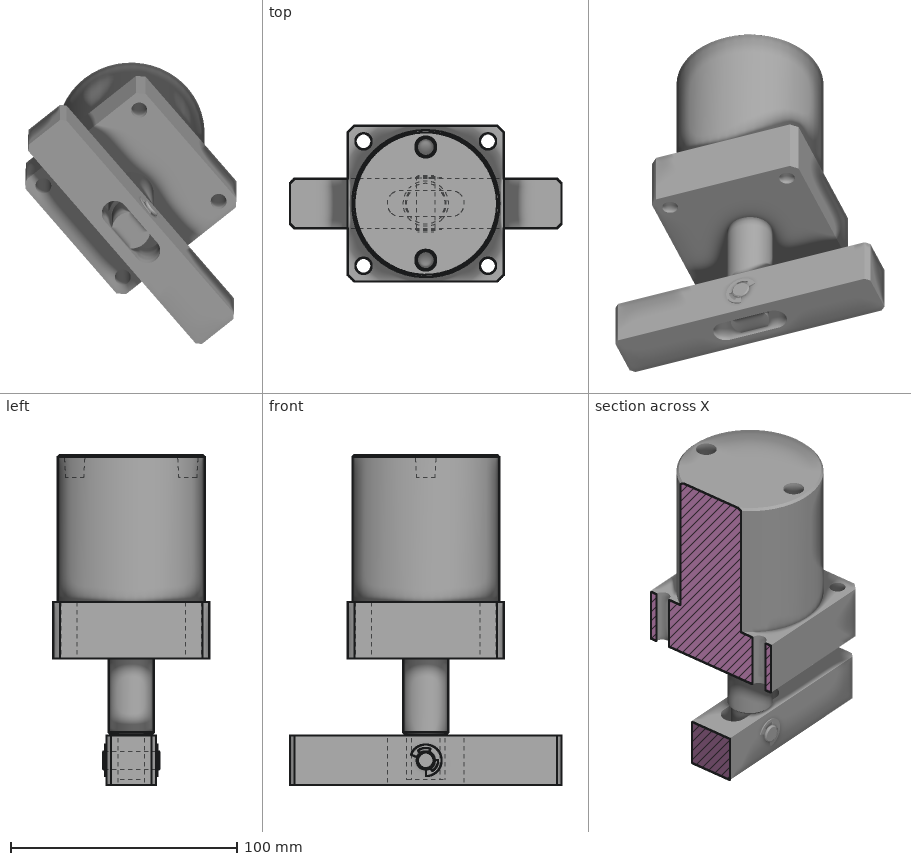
import cadquery as cq
import math

arm_length = 120.0
arm_width = 22.0
arm_height = 22.0
arm_corner_chamfer = 2.0
slot_length = 34.0
slot_width = 11.5

rod_radius = 10.0
rod_chamfer = 1.0
rod_gap = 0.5
tang_radius = 8.5
tang_length = 20.0
rod_shoulder_z = arm_height + rod_gap

housing_bottom_z = 56.0
flange_size = 69.0
flange_height = 25.0
flange_corner_chamfer = 3.0
bolt_spacing = 55.0
bolt_hole_diameter = 7.0
body_diameter = 65.0
body_height = 65.0
body_chamfer = 1.0
housing_top_z = housing_bottom_z + flange_height + body_height
port_spacing = 50.0
port_top_diameter = 9.2
port_bottom_diameter = 8.0
port_depth = 10.0

pin_radius = 4.0
pin_length = 25.0
pin_chamfer = 0.5
pin_z = arm_height / 2
groove_radius = 3.5

clip_thickness = 0.5
clip_outer_radius = 7.0
clip_relief_radius = 5.5
clip_axis_angle = 35.0
clip_gap_angle = 112.0
clip_relief_offset = 63.0
clip_relief_angle = 61.0
clip_starts = (-arm_width / 2 - clip_thickness, arm_width / 2)


def y_cylinder(radius, y_start, length):
    """Cylinder along +Y on the pin axis."""
    return (
        cq.Workplane("XZ", origin=(0, y_start, pin_z))
        .circle(radius)
        .extrude(-length)
    )


def make_port(y_center):
    """Tapered port opening in the top face of the housing, narrowing downward."""
    return (
        cq.Workplane("XY", origin=(0, y_center, housing_top_z))
        .circle(port_top_diameter / 2)
        .workplane(offset=-port_depth)
        .circle(port_bottom_diameter / 2)
        .loft(ruled=True)
    )


def make_housing():
    flange = (
        cq.Workplane("XY", origin=(0, 0, housing_bottom_z))
        .rect(flange_size, flange_size)
        .extrude(flange_height)
        .edges("|Z")
        .chamfer(flange_corner_chamfer)
        .faces(">Z")
        .workplane()
        .rect(bolt_spacing, bolt_spacing, forConstruction=True)
        .vertices()
        .hole(bolt_hole_diameter)
    )
    body = (
        cq.Workplane("XY", origin=(0, 0, housing_bottom_z + flange_height))
        .circle(body_diameter / 2)
        .extrude(body_height)
        .faces(">Z")
        .chamfer(body_chamfer)
    )
    housing = flange.union(body)
    for port_y in (-port_spacing / 2, port_spacing / 2):
        housing = housing.cut(make_port(port_y))
    return housing


def make_rod():
    shank = (
        cq.Workplane("XY", origin=(0, 0, rod_shoulder_z))
        .circle(rod_radius)
        .extrude(housing_bottom_z - rod_shoulder_z)
        .faces("<Z")
        .chamfer(rod_chamfer)
    )
    tang_flats = (
        cq.Workplane("XY", origin=(0, 0, rod_shoulder_z))
        .rect(2 * tang_radius, slot_width)
        .extrude(-tang_length)
    )
    tang = (
        cq.Workplane("XY", origin=(0, 0, rod_shoulder_z))
        .circle(tang_radius)
        .extrude(-tang_length)
        .intersect(tang_flats)
    )
    pin_hole = y_cylinder(pin_radius, -rod_radius, 2 * rod_radius)
    return shank.union(tang).cut(pin_hole)


def make_arm():
    bar = (
        cq.Workplane("XY")
        .rect(arm_length, arm_width)
        .extrude(arm_height)
        .edges("|Z")
        .chamfer(arm_corner_chamfer)
    )
    slot = cq.Workplane("XY").slot2D(slot_length, slot_width).extrude(arm_height)
    pin_hole = y_cylinder(pin_radius, -arm_width / 2, arm_width)
    return bar.cut(slot).cut(pin_hole)


def make_pin():
    pin = y_cylinder(pin_radius, -pin_length / 2, pin_length).faces("<Y or >Y").chamfer(pin_chamfer)
    for groove_start in clip_starts:
        groove = y_cylinder(pin_radius, groove_start, clip_thickness)
        core = y_cylinder(groove_radius, groove_start, clip_thickness)
        pin = pin.cut(groove.cut(core))
    return pin


def clip_sector(y_start, inner_radius, outer_radius, middle_angle, spread):
    """Ring sector about the pin axis, with angles measured from +X toward +Z."""

    def point(radius, angle):
        turn = math.radians(angle)
        return (radius * math.cos(turn), radius * math.sin(turn))

    first = middle_angle - spread / 2
    last = middle_angle + spread / 2
    return (
        cq.Workplane("XZ", origin=(0, y_start, pin_z))
        .moveTo(*point(inner_radius, first))
        .lineTo(*point(outer_radius, first))
        .threePointArc(point(outer_radius, middle_angle), point(outer_radius, last))
        .lineTo(*point(inner_radius, last))
        .threePointArc(point(inner_radius, middle_angle), point(inner_radius, first))
        .close()
        .extrude(-clip_thickness)
    )


def make_clip(y_start):
    clip = clip_sector(y_start, groove_radius, clip_outer_radius, clip_axis_angle, 360 - clip_gap_angle)
    for side in (-1, 1):
        relief_middle = clip_axis_angle + side * clip_relief_offset
        relief = clip_sector(y_start, groove_radius, clip_relief_radius, relief_middle, clip_relief_angle)
        clip = clip.cut(relief)
    return clip


housing = make_housing()
rod = make_rod()
arm = make_arm()
pin = make_pin()
clips = [make_clip(y_start) for y_start in clip_starts]

result = cq.Compound.makeCompound(
    [housing.val(), rod.val(), arm.val(), pin.val(), *[clip.val() for clip in clips]]
)